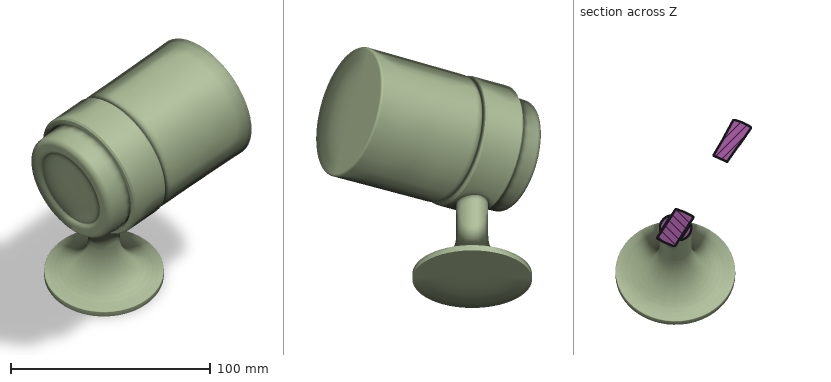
import cadquery as cq
import math


total_height = 110.1
ring_diameter = 67.0
ring_radius = ring_diameter / 2
lamp_axis_height = total_height - ring_radius

ring_width = 21.8
ring_bore_radius = 30.3
ring_edge_chamfer = 0.9
ring_back = ring_width / 2
ring_front = -ring_width / 2

shade_back = 71.5
shade_back_radius = ring_radius
shade_front_radius = 33.0
shade_back_fillet = 1.1
shade_front_fillet = 5.0

bezel_front = -24.4
bezel_front_radius = 28.7
bezel_lip_fillet = 3.0
bezel_opening_radius = 23.0

lens_depth = 1.5
lens_thickness = 2.2

stem_radius = 8.0
collar_bottom = 24.9
collar_top = 28.1
flange_radius = 30.1
rim_edge_fillet = 0.3

lens_radius = bezel_opening_radius - math.sqrt(
    bezel_lip_fillet**2 - (bezel_lip_fillet - lens_depth) ** 2
)
lens_front = bezel_front + lens_depth
lens_back = lens_front + lens_thickness


def lamp_cylinder(radius, front, back):
    """Cylinder on the lamp axis between two Y positions."""
    plane = cq.Workplane("XZ", origin=(0, front, lamp_axis_height))
    return plane.circle(radius).extrude(front - back)


def spin_on_lamp_axis(outline):
    """Revolve a closed (radius, Y) outline about the lamp axis."""
    turned = outline.revolve(360, (0, 0), (0, 1))
    return turned.translate((0, 0, lamp_axis_height))


def make_shade():
    outline = (
        cq.Workplane("XY")
        .moveTo(0, ring_back)
        .lineTo(shade_front_radius, ring_back)
        .lineTo(shade_back_radius, shade_back)
        .lineTo(0, shade_back)
        .close()
    )
    shade = spin_on_lamp_axis(outline)
    shade = shade.faces("<Y").edges().fillet(shade_front_fillet)
    return shade.faces(">Y").edges().fillet(shade_back_fillet)


def make_ring():
    ring = lamp_cylinder(ring_radius, ring_front, ring_back)
    ring = ring.faces("<Y or >Y").edges().chamfer(ring_edge_chamfer)
    return ring.cut(lamp_cylinder(ring_bore_radius, ring_front, ring_back))


def make_bezel():
    outline = (
        cq.Workplane("XY")
        .moveTo(0, bezel_front)
        .lineTo(bezel_front_radius, bezel_front)
        .lineTo(ring_bore_radius, ring_back)
        .lineTo(0, ring_back)
        .close()
    )
    bezel = spin_on_lamp_axis(outline)
    bezel = bezel.faces("<Y").edges().fillet(bezel_lip_fillet)
    return bezel.cut(make_opening()).cut(make_lens())


def make_opening():
    """Mouth of the bezel, with a rounded lip that ends at the lens face."""
    lip_slope = math.asin((bezel_lip_fillet - lens_depth) / bezel_lip_fillet)
    mid_angle = (lip_slope + math.pi / 2) / 2
    lip_middle = (
        bezel_opening_radius - bezel_lip_fillet * math.cos(mid_angle),
        bezel_front + bezel_lip_fillet * (1 - math.sin(mid_angle)),
    )
    outline = (
        cq.Workplane("XY")
        .moveTo(0, bezel_front)
        .lineTo(bezel_opening_radius, bezel_front)
        .threePointArc(lip_middle, (lens_radius, lens_front))
        .lineTo(0, lens_front)
        .close()
    )
    return spin_on_lamp_axis(outline)


def make_lens():
    return lamp_cylinder(lens_radius, lens_front, lens_back)


def make_stem():
    """Post whose top is saddled to the outside of the ring."""
    stem = (
        cq.Workplane("XY", origin=(0, 0, collar_top))
        .circle(stem_radius)
        .extrude(lamp_axis_height - collar_top)
    )
    return stem.cut(lamp_cylinder(ring_radius, ring_front, ring_back))


def make_collar():
    plane = cq.Workplane("XY", origin=(0, 0, collar_bottom))
    return plane.circle(stem_radius).extrude(collar_top - collar_bottom)


def make_flange():
    """Trumpet foot: a quarter arc sweeps from the neck out to the rounded rim."""
    rim_shoulder = flange_radius - rim_edge_fillet
    flare_radius = rim_shoulder - stem_radius
    rim_top = collar_bottom - flare_radius
    rim_height = rim_top - rim_edge_fillet
    arc_inset = flare_radius * (1 - math.sqrt(0.5))
    edge_inset = rim_edge_fillet * (1 - math.sqrt(0.5))
    outline = (
        cq.Workplane("XZ")
        .lineTo(flange_radius, 0)
        .lineTo(flange_radius, rim_height)
        .threePointArc((flange_radius - edge_inset, rim_top - edge_inset), (rim_shoulder, rim_top))
        .threePointArc((stem_radius + arc_inset, rim_top + arc_inset), (stem_radius, collar_bottom))
        .lineTo(0, collar_bottom)
        .close()
    )
    return outline.revolve(360, (0, 0), (0, 1))


shade = make_shade()
ring = make_ring()
bezel = make_bezel()
lens = make_lens()
stem = make_stem()
collar = make_collar()
flange = make_flange()

result = cq.Compound.makeCompound(
    [
        shade.val(),
        ring.val(),
        bezel.val(),
        lens.val(),
        stem.val(),
        collar.val(),
        flange.val(),
    ]
)